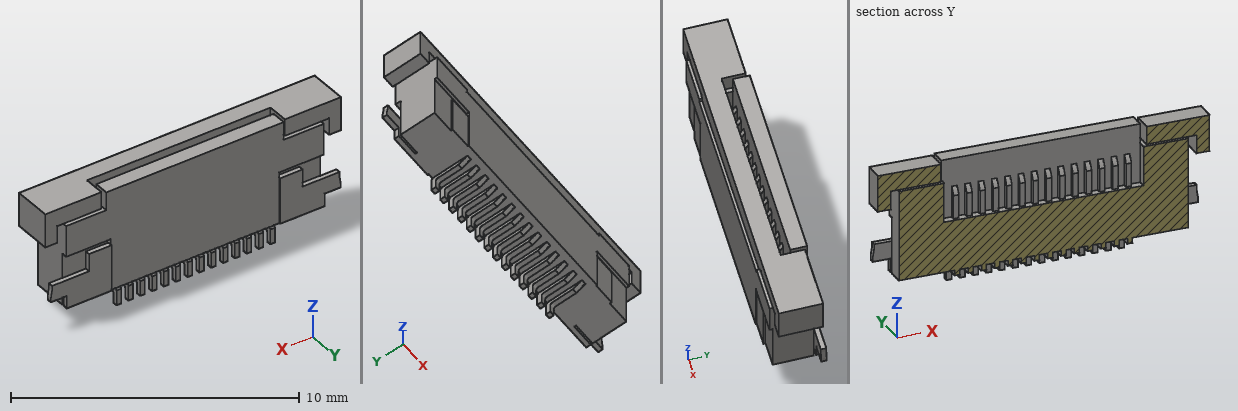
import cadquery as cq


housing_width = 10.9
housing_depth = 1.82
housing_top = 4.2
shoulder_z = 3.45
notch_z = 3.3
notch_width = 7.5
tongue_thickness = 0.61

slot_gap = 0.38
slot_floor_z = 1.95

actuator_width = 12.5
actuator_front_y = 0.11
actuator_back_y = 1.71
actuator_underside_z = 3.5
actuator_leg_width = 0.5
actuator_leg_bottom_z = 2.8
actuator_opening_width = 7.75

recess_top_z = 2.15
front_recess_inner_x = 3.64
front_recess_depth = 0.11
back_recess_inner_x = 3.56
back_recess_depth = 0.22

clip_top_z = 1.92
clip_thickness = 0.2
clip_outer_x = 4.51
front_clip_inset = 0.04
clip_back_y = 1.88
clip_foot_height = 0.6

tab_bottom_z = 0.52
tab_top_z = 1.2
tab_slant_bottom_z = 0.71
tab_slant_top_z = 1.01
tab_upper_x = 6.08
tab_lower_x = 6.12

contact_count = 14
contact_pitch = 0.5
contact_width = 0.2
contact_thickness = 0.2
contact_bottom_z = -0.7
contact_bend_radius = 0.1
contact_back_bevel = 0.08
beam_slope_start_y = 0.69
beam_slope_end_y = 0.29
contact_tip_reach = 0.16
contact_tip_radius = 1.0
contact_tip_top_z = 3.12
contact_tip_nose_height = 0.29

tongue_front_y = housing_depth - tongue_thickness
slot_front_y = tongue_front_y - slot_gap
half_housing = housing_width / 2
half_actuator = actuator_width / 2


def block(x_range, y_range, z_range):
    """Box spanning the given ranges."""
    ranges = (x_range, y_range, z_range)
    size = [high - low for low, high in ranges]
    corner = [low for low, high in ranges]
    return cq.Workplane("XY").box(*size, centered=False).translate(tuple(corner))


def centred_block(width, y_range, z_range):
    """Box centred on x = 0."""
    return block((-width / 2, width / 2), y_range, z_range)


def both_ends(right_end):
    """The given right-hand shape together with its mirror image at the left."""
    return right_end.union(right_end.mirror("YZ"))


def make_housing():
    body = centred_block(housing_width, (0, housing_depth), (0, shoulder_z))
    notch = centred_block(notch_width, (0, tongue_front_y), (notch_z, shoulder_z))
    tongue = centred_block(notch_width, (tongue_front_y, housing_depth), (notch_z, housing_top))
    slot = centred_block(notch_width, (slot_front_y, tongue_front_y), (slot_floor_z, notch_z))
    front_recess = block(
        (front_recess_inner_x, half_housing), (0, front_recess_depth), (0, recess_top_z)
    )
    back_recess = block(
        (back_recess_inner_x, half_housing),
        (housing_depth - back_recess_depth, housing_depth),
        (0, recess_top_z),
    )
    recesses = both_ends(front_recess.union(back_recess))
    return body.cut(notch).cut(slot).cut(recesses).union(tongue)


def make_actuator():
    actuator_y = (actuator_front_y, actuator_back_y)
    bar = centred_block(actuator_width, actuator_y, (actuator_underside_z, housing_top))
    leg = block(
        (half_actuator - actuator_leg_width, half_actuator),
        actuator_y,
        (actuator_leg_bottom_z, actuator_underside_z),
    )
    opening = centred_block(
        actuator_opening_width, (slot_front_y, actuator_back_y), (actuator_underside_z, housing_top)
    )
    seat_y = (actuator_front_y, slot_front_y)
    shoulder_seat = centred_block(actuator_opening_width, seat_y, (shoulder_z, actuator_underside_z))
    notch_seat = centred_block(notch_width, seat_y, (notch_z, shoulder_z))
    return bar.cut(opening).union(both_ends(leg)).union(shoulder_seat).union(notch_seat)


def make_clips():
    back_y = (clip_back_y - clip_thickness, clip_back_y)
    inner_x = back_recess_inner_x
    plate = block((inner_x, clip_outer_x), back_y, (0, clip_top_z))
    plate_base = block((inner_x, half_housing), back_y, (0, tab_top_z))
    foot = block(
        (inner_x, clip_outer_x), (housing_depth - back_recess_depth, back_y[0]), (0, clip_foot_height)
    )
    tab = (
        cq.Workplane("XZ", origin=(0, back_y[1], 0))
        .moveTo(half_housing, tab_bottom_z)
        .lineTo(tab_lower_x, tab_bottom_z)
        .lineTo(tab_lower_x, tab_slant_bottom_z)
        .lineTo(tab_upper_x, tab_slant_top_z)
        .lineTo(tab_upper_x, tab_top_z)
        .lineTo(half_housing, tab_top_z)
        .close()
        .extrude(clip_thickness)
    )
    front_plate = block(
        (front_recess_inner_x, clip_outer_x),
        (front_clip_inset, front_recess_depth),
        (0, clip_top_z),
    )
    return both_ends(plate.union(plate_base).union(foot).union(tab).union(front_plate))


def make_contact():
    """Tail below the housing and tip inside the slot, centred on x = 0."""
    leg_front_y = clip_back_y - contact_thickness
    bend_start_y = leg_front_y - contact_bend_radius
    bend_end_z = -contact_thickness - contact_bend_radius
    tail = (
        cq.Workplane("YZ")
        .moveTo(beam_slope_end_y, 0)
        .lineTo(beam_slope_start_y, -contact_thickness)
        .lineTo(bend_start_y, -contact_thickness)
        .radiusArc((leg_front_y, bend_end_z), contact_bend_radius)
        .lineTo(leg_front_y, contact_bottom_z)
        .lineTo(clip_back_y, contact_bottom_z)
        .lineTo(clip_back_y, -contact_back_bevel)
        .lineTo(housing_depth, 0)
        .close()
        .extrude(contact_width / 2, both=True)
    )
    tip_face_y = tongue_front_y - contact_tip_reach
    nose_base_z = contact_tip_top_z - contact_tip_nose_height
    tip = (
        cq.Workplane("YZ")
        .moveTo(tongue_front_y, slot_floor_z)
        .lineTo(tip_face_y, slot_floor_z)
        .lineTo(tip_face_y, nose_base_z)
        .radiusArc((tongue_front_y, contact_tip_top_z), contact_tip_radius)
        .close()
        .extrude(contact_width / 2, both=True)
    )
    return tail, tip


result = make_housing().union(make_actuator()).union(make_clips())
tail, tip = make_contact()
for index in range(contact_count):
    contact_x = (index - (contact_count - 1) / 2) * contact_pitch
    result = result.union(tail.translate((contact_x, 0, 0)))
    result = result.union(tip.translate((contact_x, 0, 0)))